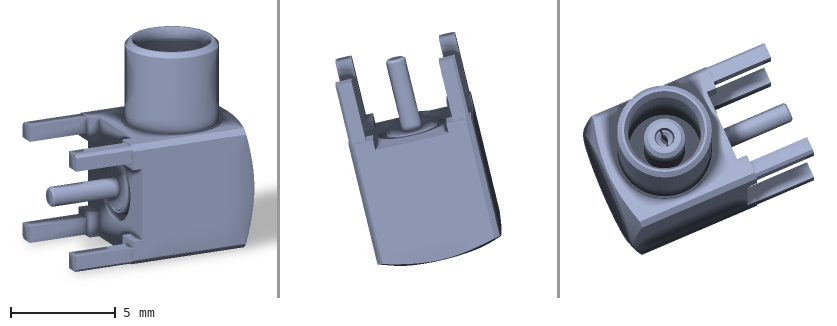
import cadquery as cq
import math


body_width = 6.0
body_half = body_width / 2
edge_chamfer = 0.26
back_flat_radius = 2.82
back_cone_angle = 22.0

pad_size = 1.2
pad_height = 0.5
pad_face_y = -body_half - pad_height
leg_size = 0.8
leg_pitch = 5.08
leg_length = 3.0
leg_end_y = pad_face_y - leg_length

tower_top_z = 7.0
tower_radius = 2.26
tower_chamfer = 0.22
bore_radius = 1.74
bore_mouth_radius = 1.93
bore_mouth_depth = 0.5
bore_floor_z = body_half
base_groove_outer_radius = 2.44
base_groove_inner_radius = 2.36
base_groove_depth = 0.05

insulator_radius = 0.98
insulator_chamfer = 0.2
insulator_top_z = 5.58
contact_radius = 0.47
contact_recess = 0.3
contact_rim_chamfer = 0.08
funnel_mouth_radius = 0.36
funnel_tip_radius = 0.16
funnel_depth = 0.2
contact_depth = 1.2
contact_slot_width = 0.1
finger_bore_radius = 0.34
finger_bore_shift = 0.18

ring_recess_radius = 1.65
ring_recess_depth = 0.3
ring_base_radius = 1.36
ring_face_radius = 1.24
notch_outer_radius = 1.17
notch_inner_radius = 1.1
pin_radius = 0.48
pin_chamfer = 0.09


def revolve_about_z(points):
    """Turn a closed (radius, z) outline about the Z axis."""
    return cq.Workplane("XZ").polyline(points).close().revolve(360, (0, 0, 0), (0, 1, 0))


def revolve_about_y(points):
    """Turn a closed (radius, y) outline about the Y axis."""
    return cq.Workplane("XY").polyline(points).close().revolve(360, (0, 0, 0), (0, 1, 0))


def make_square_bar(size, start_y, end_y):
    """Square bar centred on the Y axis, running from start_y to end_y (towards -Y)."""
    return cq.Workplane("XZ", origin=(0, start_y, 0)).rect(size, size).extrude(start_y - end_y)


def make_body_with_legs():
    block = make_square_bar(body_width, body_half, pad_face_y)

    relief_width = body_width - 2 * pad_size
    for width, height in ((relief_width, body_width), (body_width, relief_width)):
        relief = cq.Workplane("XZ", origin=(0, -body_half, 0)).rect(width, height).extrude(pad_height)
        block = block.cut(relief)

    legs = (
        cq.Workplane("XZ", origin=(0, pad_face_y, 0))
        .rect(leg_pitch, leg_pitch, forConstruction=True)
        .vertices()
        .rect(leg_size, leg_size)
        .extrude(leg_length)
    )

    envelope = make_square_bar(body_width, body_half, leg_end_y).edges("|Y").chamfer(edge_chamfer)

    corner_radius = body_width / math.sqrt(2)
    cone_drop = (corner_radius - back_flat_radius) * math.tan(math.radians(back_cone_angle))
    turned_back = revolve_about_y([
        (0, body_half),
        (back_flat_radius, body_half),
        (corner_radius, body_half - cone_drop),
        (corner_radius, leg_end_y),
        (0, leg_end_y),
    ])
    return block.union(legs).intersect(envelope).intersect(turned_back)


def make_base_groove():
    return (
        cq.Workplane("XY", origin=(0, 0, body_half))
        .circle(base_groove_outer_radius)
        .circle(base_groove_inner_radius)
        .extrude(-base_groove_depth)
    )


def make_tower():
    return revolve_about_z([
        (0, 0),
        (tower_radius, 0),
        (tower_radius, tower_top_z - tower_chamfer),
        (tower_radius - tower_chamfer, tower_top_z),
        (bore_mouth_radius, tower_top_z),
        (bore_radius, tower_top_z - bore_mouth_depth),
        (bore_radius, bore_floor_z),
        (insulator_radius, bore_floor_z),
        (insulator_radius, insulator_top_z - insulator_chamfer),
        (insulator_radius - insulator_chamfer, insulator_top_z),
        (0, insulator_top_z),
    ])


def make_contact_cavity():
    contact_top_z = insulator_top_z - contact_recess
    cavity_floor_z = contact_top_z - contact_depth

    cavity = revolve_about_z([
        (0, insulator_top_z),
        (contact_radius, insulator_top_z),
        (contact_radius, contact_top_z - contact_rim_chamfer),
        (contact_radius - contact_rim_chamfer, contact_top_z),
        (funnel_mouth_radius, contact_top_z),
        (funnel_tip_radius, contact_top_z - funnel_depth),
        (0, contact_top_z - funnel_depth),
    ])

    floor = cq.Workplane("XY", origin=(0, 0, cavity_floor_z))
    shifted_back = floor.center(0, finger_bore_shift).circle(finger_bore_radius).extrude(contact_depth)
    shifted_front = floor.center(0, -finger_bore_shift).circle(finger_bore_radius).extrude(contact_depth)
    slot = floor.rect(2 * contact_radius, contact_slot_width).extrude(contact_depth)
    return cavity.union(shifted_back.intersect(shifted_front)).union(slot)


def make_ring_recess():
    """Annular recess around the tapered ring, whose end is flush with the board-side face."""
    face_y = -body_half
    recess_floor_y = face_y + ring_recess_depth
    return revolve_about_y([
        (ring_recess_radius, face_y),
        (ring_recess_radius, recess_floor_y),
        (ring_base_radius, recess_floor_y),
        (ring_face_radius, face_y),
    ])


def make_insulator_notch():
    """V-notch left by the chamfered insulator edge inside the ring."""
    face_y = -body_half
    return revolve_about_y([
        (notch_outer_radius, face_y),
        (notch_outer_radius, face_y + notch_outer_radius - notch_inner_radius),
        (notch_inner_radius, face_y),
    ])


def make_pin():
    return (
        cq.Workplane("XZ")
        .circle(pin_radius)
        .extrude(-leg_end_y)
        .faces("<Y")
        .chamfer(pin_chamfer)
    )


result = (
    make_body_with_legs()
    .cut(make_base_groove())
    .union(make_tower())
    .cut(make_contact_cavity())
    .cut(make_ring_recess())
    .cut(make_insulator_notch())
    .union(make_pin())
)